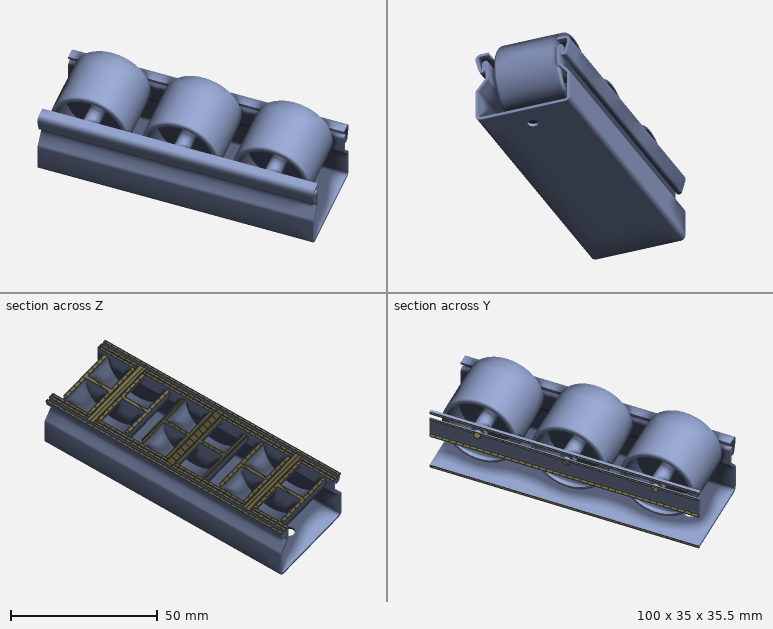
import cadquery as cq
import math

rail_length = 100.0
rail_width = 35.0
rail_height = 26.0
sheet = 1.0
inner_gap = 25.4
bend_inside = 1.0
hairpin_inside = 0.15
waist_angle = 40.0
waist_height = 10.8
fold_top = 23.0
curl_angle = 16.0

roller_count = 3
roller_pitch = 33.0
first_roller_x = roller_pitch / 2
roller_diameter = 28.0
roller_width = 24.0
roller_edge_radius = 1.0
rim_bore = 25.0
web_thickness = 1.5
hub_diameter = 5.8
hub_length = inner_gap
hub_bore = 3.2
axle_diameter = 2.8
axle_length = 30.5
axle_height = 21.5

mount_hole_diameter = 4.0
mount_hole_x = 9.25


def around(center, radius, angle):
    """Point at an angle, in degrees, on a circle in the YZ plane."""
    turn = math.radians(angle)
    return (center[0] + radius * math.cos(turn), center[1] + radius * math.sin(turn))


def rail_bends():
    """Bends of the +Y half from floor to lip, as (centre, inside radius, start angle, end angle)."""
    half_width = rail_width / 2
    bend_outside = bend_inside + sheet
    hairpin_outside = hairpin_inside + sheet
    bend_middle = bend_inside + sheet / 2
    hairpin_middle = hairpin_inside + sheet / 2
    wall_outside = inner_gap / 2 + sheet

    floor_corner = (half_width - bend_outside, bend_outside)
    waist_low = (half_width - bend_outside, waist_height)

    lean = math.radians(waist_angle)
    waist_high_y = wall_outside + bend_inside
    waist_run = waist_low[0] - waist_high_y
    waist_rise = (2 * bend_middle + waist_run * math.cos(lean)) / math.sin(lean)
    waist_high = (waist_high_y, waist_height + waist_rise)

    fold = (wall_outside + hairpin_inside, fold_top - hairpin_outside)
    curl = (half_width - bend_outside, rail_height - bend_outside)

    lean = math.radians(curl_angle)
    trough_y = fold[0] + 2 * hairpin_middle
    trough_drop = (bend_middle - hairpin_middle + (curl[0] - trough_y) * math.cos(lean)) / math.sin(lean)
    trough = (trough_y, curl[1] - trough_drop)

    return [
        (floor_corner, bend_inside, -90, 0),
        (waist_low, bend_inside, 0, waist_angle),
        (waist_high, bend_inside, 180 + waist_angle, 180),
        (fold, hairpin_inside, 180, 0),
        (trough, hairpin_inside, 180, 360 - curl_angle),
        (curl, bend_inside, -curl_angle, 90),
    ]


def add_bend(outline, center, radius, start, end):
    """Run straight to a bend and then around it."""
    middle = (start + end) / 2
    outline = outline.lineTo(*around(center, radius, start))
    return outline.threePointArc(around(center, radius, middle), around(center, radius, end))


def rail_half():
    """+Y half of the bent sheet: along its outer skin to the lip, then back along its inner skin."""
    bends = rail_bends()
    lip_edge = inner_gap / 2
    outline = cq.Workplane("YZ").moveTo(0, 0)
    for center, inside, start, end in bends:
        outer_skin = inside + sheet if end > start else inside
        outline = add_bend(outline, center, outer_skin, start, end)
    outline = outline.lineTo(lip_edge, rail_height).lineTo(lip_edge, rail_height - sheet)
    for center, inside, start, end in reversed(bends):
        inner_skin = inside if end > start else inside + sheet
        outline = add_bend(outline, center, inner_skin, end, start)
    return outline.lineTo(0, sheet).close().extrude(rail_length)


def cylinder_along_y(diameter, length, x):
    """Cylinder centred on the XZ plane at the height of the axles."""
    return (
        cq.Workplane("XZ", origin=(x, length / 2, axle_height))
        .circle(diameter / 2)
        .extrude(length)
    )


def make_rail(axle_places):
    half = rail_half()
    rail = half.union(half.mirror("XZ"))
    for x in axle_places:
        rail = rail.cut(cylinder_along_y(axle_diameter, axle_length, x))
    mount_hole = cq.Workplane("XY").center(mount_hole_x, 0).circle(mount_hole_diameter / 2).extrude(sheet)
    return rail.cut(mount_hole)


def make_roller(x):
    tread = cylinder_along_y(roller_diameter, roller_width, x).edges().fillet(roller_edge_radius)
    rim = tread.cut(cylinder_along_y(rim_bore, roller_width, x))
    web = cylinder_along_y(rim_bore, web_thickness, x)
    hub = cylinder_along_y(hub_diameter, hub_length, x)
    return rim.union(web).union(hub).cut(cylinder_along_y(hub_bore, hub_length, x))


def make_axle(x):
    return cylinder_along_y(axle_diameter, axle_length, x)


axle_places = [first_roller_x + i * roller_pitch for i in range(roller_count)]
rail = make_rail(axle_places)
rollers = [make_roller(x) for x in axle_places]
axles = [make_axle(x) for x in axle_places]

result = cq.Compound.makeCompound(
    [rail.val()] + [roller.val() for roller in rollers] + [axle.val() for axle in axles]
)